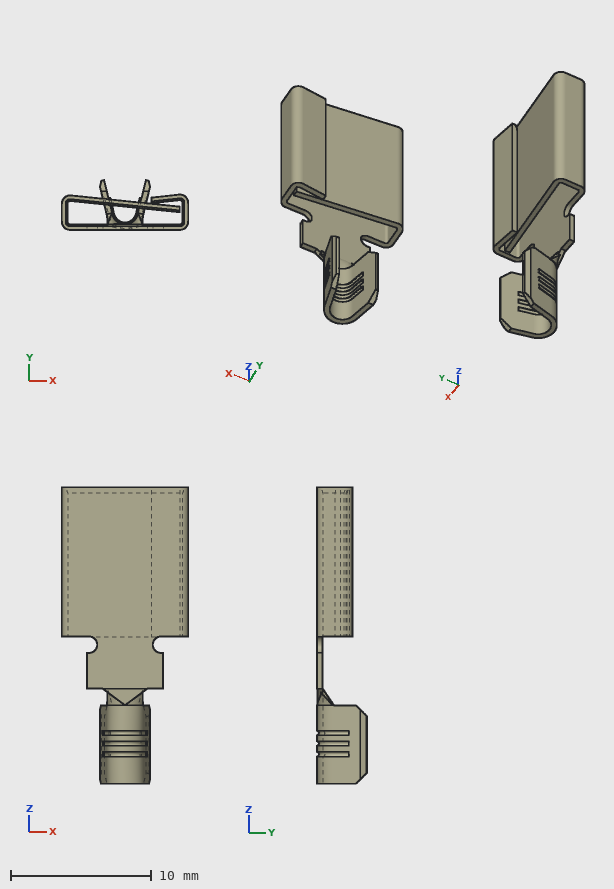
import cadquery as cq
import math


BOX_WIDTH = 8.99
CRIMP_HEIGHT = 3.56
TOTAL_LENGTH = 21.08
THICKNESS = 0.41

CRIMP_TOP = 5.58
PLATE_BOTTOM = 6.76
SHOULDER = 9.31
BOX_BOTTOM = 10.46

BEND_RADIUS = 0.6
LONG_FLAP_HEIGHT = 2.47
LONG_FLAP_SLOPE = math.radians(5.9)
LONG_FLAP_END = 3.9
SHORT_FLAP_HEIGHT = 2.53
SHORT_FLAP_SLOPE = math.radians(6.3)
SHORT_FLAP_END = 1.88
MOUTH_CHAMFER_WIDTH = 0.14
MOUTH_CHAMFER_DEPTH = 0.4

PLATE_WIDTH = 5.42
NOTCH_TIP = 1.98

TRIANGLE_WIDTH = 3.18
NECK_WIDTH = 2.5
NECK_SETBACK = 0.03
NECK_WALL_EXTENSION = 0.1

CRIMP_RADIUS = 1.33
WING_TILT = math.radians(13.5)
WING_CORNER_CUT = 0.79
TIP_CHAMFER_WIDTH = 0.2
TIP_CHAMFER_LENGTH = 0.4

SERRATION_COUNT = 3
FIRST_SERRATION = 2.1
SERRATION_PITCH = 0.76
SERRATION_RADIUS = 0.17
SERRATION_DEPTH = 0.13
SERRATION_TOP = 2.25


def box_strip(inset):
    """Receptacle box as an extruded strip whose inner side lies at the given inset from its outer side."""
    half_width = BOX_WIDTH / 2
    left_angle = math.pi / 2 - LONG_FLAP_SLOPE
    right_angle = math.pi / 2 + SHORT_FLAP_SLOPE
    left_top = (-half_width + BEND_RADIUS, LONG_FLAP_HEIGHT - BEND_RADIUS)
    right_top = (half_width - BEND_RADIUS, SHORT_FLAP_HEIGHT - BEND_RADIUS)
    left_low = (left_top[0], BEND_RADIUS)
    right_low = (right_top[0], BEND_RADIUS)

    def on_bend(center, radius, angle):
        """Point at an angle on a bend."""
        return (center[0] + radius * math.cos(angle), center[1] + radius * math.sin(angle))

    def flap_end(center, radius, angle, end):
        """Point where the flap leaving a bend at the angle reaches X = end."""
        start = on_bend(center, radius, angle)
        slope = -1 / math.tan(angle)
        return (end, start[1] + slope * (end - start[0]))

    bends = [
        (left_top, left_angle, math.pi),
        (left_low, math.pi, 1.5 * math.pi),
        (right_low, -math.pi / 2, 0),
        (right_top, 0, right_angle),
    ]

    outer_radius = BEND_RADIUS
    inner_radius = BEND_RADIUS - inset
    profile = cq.Workplane("XY").workplane(offset=BOX_BOTTOM)
    profile = profile.moveTo(*flap_end(left_top, outer_radius, left_angle, LONG_FLAP_END))
    for center, start, end in bends:
        profile = profile.lineTo(*on_bend(center, outer_radius, start))
        middle = on_bend(center, outer_radius, (start + end) / 2)
        profile = profile.threePointArc(middle, on_bend(center, outer_radius, end))
    profile = profile.lineTo(*flap_end(right_top, outer_radius, right_angle, SHORT_FLAP_END))
    profile = profile.lineTo(*flap_end(right_top, inner_radius, right_angle, SHORT_FLAP_END))
    for center, start, end in reversed(bends):
        profile = profile.lineTo(*on_bend(center, inner_radius, end))
        middle = on_bend(center, inner_radius, (start + end) / 2)
        profile = profile.threePointArc(middle, on_bend(center, inner_radius, start))
    profile = profile.lineTo(*flap_end(left_top, inner_radius, left_angle, LONG_FLAP_END))
    return profile.close().extrude(TOTAL_LENGTH - BOX_BOTTOM)


def make_box():
    """Receptacle box with a lead-in chamfer along the inner edges of its open end."""
    box = box_strip(THICKNESS)
    outer_half = box_strip(THICKNESS / 2)
    mouth_face = box.faces(">Z").val()
    inner_edges = []
    for edge in mouth_face.Edges():
        if edge.distance(outer_half.val()) > THICKNESS / 4:
            inner_edges.append(edge)
    return cq.Workplane(box.val().chamfer(MOUTH_CHAMFER_DEPTH, MOUTH_CHAMFER_WIDTH, inner_edges))


def make_plate():
    """Flat plate below the box, with a round-ended notch in each side."""
    half_width = PLATE_WIDTH / 2
    plate = (
        cq.Workplane("XY")
        .box(PLATE_WIDTH, THICKNESS, BOX_BOTTOM - PLATE_BOTTOM, centered=(True, False, False))
        .translate((0, 0, PLATE_BOTTOM))
    )
    notch_height = BOX_BOTTOM - SHOULDER
    notch_length = half_width
    notch_center = NOTCH_TIP + notch_length / 2
    notch_level = SHOULDER + notch_height / 2
    notches = (
        cq.Workplane("XZ")
        .pushPoints([(-notch_center, notch_level), (notch_center, notch_level)])
        .slot2D(notch_length, notch_height)
        .extrude(-THICKNESS)
    )
    return plate.cut(notches)


def crimp_point(side, depth, along):
    """Point on a wing: depth from its outer face, and distance along it from the end of the bend."""
    across = (CRIMP_RADIUS - depth) * math.cos(WING_TILT) + along * math.sin(WING_TILT)
    height = CRIMP_RADIUS - (CRIMP_RADIUS - depth) * math.sin(WING_TILT) + along * math.cos(WING_TILT)
    return (side * across, height)


def wing_length_to(height, depth):
    """Distance along a wing at which the given depth reaches the given height."""
    return (height - crimp_point(1, depth, 0)[1]) / math.cos(WING_TILT)


def make_crimp():
    """Open U of the wire crimp with bevelled wing tips and clipped wing corners."""
    tip = wing_length_to(CRIMP_HEIGHT, THICKNESS)
    profile = (
        cq.Workplane("XY")
        .moveTo(*crimp_point(-1, 0, 0))
        .threePointArc((0, 0), crimp_point(1, 0, 0))
        .lineTo(*crimp_point(1, 0, tip - TIP_CHAMFER_LENGTH))
        .lineTo(*crimp_point(1, TIP_CHAMFER_WIDTH, tip))
        .lineTo(*crimp_point(1, THICKNESS, tip))
        .lineTo(*crimp_point(1, THICKNESS, 0))
        .threePointArc((0, THICKNESS), crimp_point(-1, THICKNESS, 0))
        .lineTo(*crimp_point(-1, THICKNESS, tip))
        .lineTo(*crimp_point(-1, TIP_CHAMFER_WIDTH, tip))
        .lineTo(*crimp_point(-1, 0, tip - TIP_CHAMFER_LENGTH))
        .close()
    )
    side_outline = (
        cq.Workplane("YZ")
        .polyline([
            (0, 0),
            (CRIMP_HEIGHT - WING_CORNER_CUT, 0),
            (CRIMP_HEIGHT, WING_CORNER_CUT),
            (CRIMP_HEIGHT, CRIMP_TOP - WING_CORNER_CUT),
            (CRIMP_HEIGHT - WING_CORNER_CUT, CRIMP_TOP),
            (0, CRIMP_TOP),
        ])
        .close()
        .extrude(BOX_WIDTH / 2, both=True)
    )
    return profile.extrude(CRIMP_TOP).intersect(side_outline)


def make_neck():
    """Trough that flattens from the crimp to the plate, with a flat triangle on its outer face."""
    half_width = NECK_WIDTH / 2
    trough = (
        cq.Workplane("XY")
        .workplane(offset=CRIMP_TOP)
        .moveTo(*crimp_point(-1, NECK_SETBACK, NECK_WALL_EXTENSION))
        .threePointArc((0, NECK_SETBACK), crimp_point(1, NECK_SETBACK, NECK_WALL_EXTENSION))
        .lineTo(*crimp_point(1, THICKNESS, NECK_WALL_EXTENSION))
        .threePointArc((0, THICKNESS), crimp_point(-1, THICKNESS, NECK_WALL_EXTENSION))
        .close()
        .workplane(offset=PLATE_BOTTOM - CRIMP_TOP)
        .moveTo(-half_width, NECK_SETBACK)
        .lineTo(half_width, NECK_SETBACK)
        .lineTo(half_width, THICKNESS)
        .lineTo(-half_width, THICKNESS)
        .close()
        .loft(ruled=True)
    )
    triangle = (
        cq.Workplane("XZ", origin=(0, NECK_SETBACK, 0))
        .polyline([
            (-TRIANGLE_WIDTH / 2, PLATE_BOTTOM),
            (0, CRIMP_TOP),
            (TRIANGLE_WIDTH / 2, PLATE_BOTTOM),
        ])
        .close()
        .extrude(NECK_SETBACK - THICKNESS)
    )
    return trough.union(triangle)


def serration_rod(depth, level):
    """Round rod that follows the U, centred slightly outside the surface at the given depth."""
    center_depth = depth + SERRATION_DEPTH - SERRATION_RADIUS
    along = wing_length_to(SERRATION_TOP, center_depth)
    path = (
        cq.Workplane("XY")
        .workplane(offset=level)
        .moveTo(*crimp_point(-1, center_depth, along))
        .lineTo(*crimp_point(-1, center_depth, 0))
        .threePointArc((0, center_depth), crimp_point(1, center_depth, 0))
        .lineTo(*crimp_point(1, center_depth, along))
    )
    start = crimp_point(-1, center_depth, along)
    section = cq.Plane(
        origin=(start[0], start[1], level),
        xDir=(0, 0, 1),
        normal=(math.sin(WING_TILT), -math.cos(WING_TILT), 0),
    )
    return cq.Workplane(section).circle(SERRATION_RADIUS).sweep(path)


def add_serrations(crimp):
    """Grooves pressed into the outside of the crimp, standing out as beads on the inside."""
    for index in range(SERRATION_COUNT):
        level = FIRST_SERRATION + index * SERRATION_PITCH
        crimp = crimp.cut(serration_rod(0, level))
        crimp = crimp.union(serration_rod(THICKNESS, level))
    return crimp


crimp = add_serrations(make_crimp())
result = make_box().union(make_plate()).union(make_neck()).union(crimp)